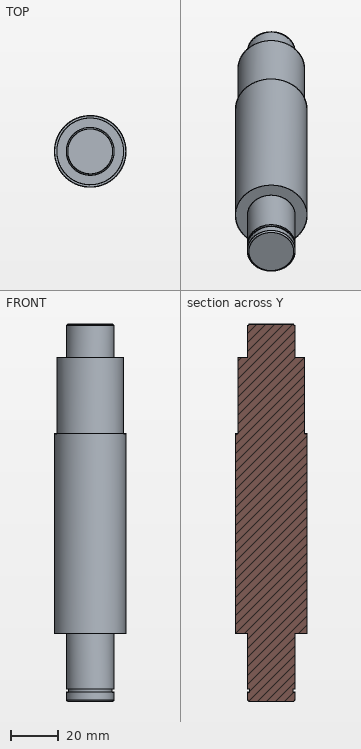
import cadquery as cq

total_length = 157.8
journal_diameter = 20.0
body_diameter = 30.0
shoulder_diameter = 28.0
end_chamfer = 0.6

body_bottom = 28.4
body_top = 112.0
shoulder_top = 143.9

groove_diameter = 18.3
groove_bottom = 4.0
groove_width = 1.3


def cylinder(diameter, bottom, top):
    """Solid cylinder on the shaft axis between two heights."""
    return cq.Workplane("XY").workplane(offset=bottom).circle(diameter / 2).extrude(top - bottom)


core = cylinder(journal_diameter, 0, total_length).faces("<Z or >Z").chamfer(end_chamfer)
body = cylinder(body_diameter, body_bottom, body_top)
shoulder = cylinder(shoulder_diameter, body_top, shoulder_top)
shaft = core.union(body).union(shoulder)

groove_top = groove_bottom + groove_width
groove_core = cylinder(groove_diameter, groove_bottom, groove_top)
groove_ring = cylinder(journal_diameter, groove_bottom, groove_top).cut(groove_core)

result = shaft.cut(groove_ring)